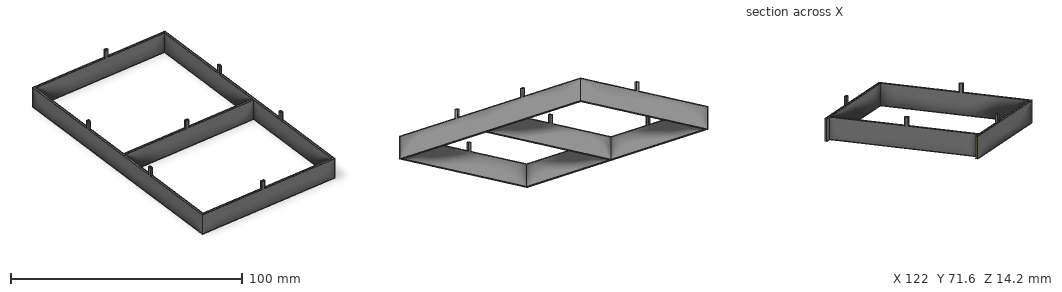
import cadquery as cq

length = 122.0
width = 71.6
total_height = 14.2
wall = 1.0
tab_height = 4.0
frame_height = total_height - tab_height

divider_x = 3.5
tab_width = 1.6
long_wall_tab_x = (-21.4, 22.9)
left_tab_y = 3.5
divider_tab_y = -1.1
right_tab_y = -2.8

long_wall_y = (width - wall) / 2
end_wall_x = (length - wall) / 2


def block(x_size, y_size, height, x=0, y=0, bottom=0):
    """Upright box centred at (x, y) whose underside is at the given height."""
    return (
        cq.Workplane("XY", origin=(x, y, bottom))
        .box(x_size, y_size, height, centered=(True, True, False))
    )


def make_frame():
    """Rectangular ring with a cross wall that splits it into two openings."""
    outer = block(length, width, frame_height)
    opening = block(length - 2 * wall, width - 2 * wall, frame_height)
    divider = block(wall, width - wall, frame_height, x=divider_x)
    return outer.cut(opening).union(divider)


def tab_along_x(x, y):
    """Tab on top of a wall that runs along X, as thick as the wall."""
    return block(tab_width, wall, tab_height, x, y, frame_height)


def tab_along_y(x, y):
    """Tab on top of a wall that runs along Y, as thick as the wall."""
    return block(wall, tab_width, tab_height, x, y, frame_height)


result = make_frame()

for tab_x in long_wall_tab_x:
    for side in (-1, 1):
        result = result.union(tab_along_x(tab_x, side * long_wall_y))

cross_wall_tabs = (
    (-end_wall_x, left_tab_y),
    (divider_x, divider_tab_y),
    (end_wall_x, right_tab_y),
)
for tab_x, tab_y in cross_wall_tabs:
    result = result.union(tab_along_y(tab_x, tab_y))

result = result.clean()